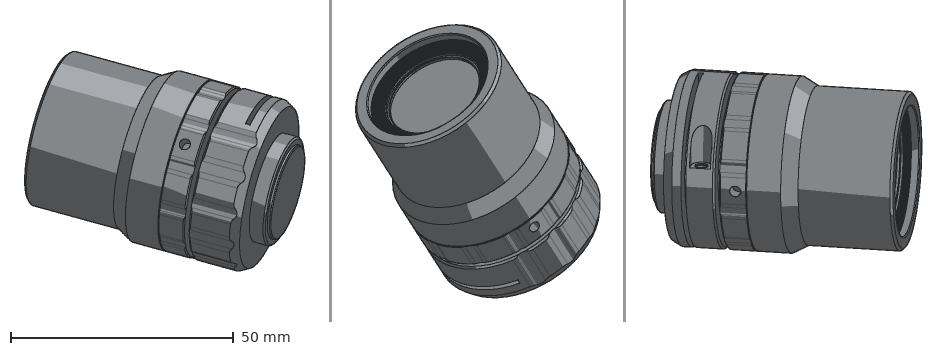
import cadquery as cq
import math


barrel_radius = 18.0
barrel_chamfer = 0.6
body_radius = 20.0
cone_start = 21.6
cone_end = 25.2
barrel_end = 33.0

groove_width = 0.2
groove_depth = 0.2

focus_ring_end = 39.3
focus_ring_chamfer = 0.3
focus_flute_radius = 2.5
focus_flute_depth = 0.46
focus_flute_edge_radius = 2.0
focus_flute_count = 12
focus_ring_turn = 1.0
set_screw_count = 3
set_screw_diameter = 2.5
set_screw_x = 35.6
set_screw_depth = 3.6

neck_radius = 15.5

clamp_start = 40.35
clamp_end = 52.2
clamp_front_chamfer_length = 0.45
clamp_front_chamfer_height = 0.45
clamp_rear_chamfer_length = 2.1
clamp_rear_chamfer_height = 1.15
clamp_flute_radius = 3.4
clamp_flute_edge_radius = 2.7
clamp_flute_depth = 0.557
clamp_flute_pitch = 25.0
clamp_flutes_per_side = 3

slot_start = 46.9
slot_width = 1.1
slot_end_y = -1.07

seat_x = 43.77
seat_y = 17.45
seat_radius = 2.39
seat_floor_z = 4.45
screw_counterbore_diameter = 3.0
screw_counterbore_depth = 0.3
screw_hole_diameter = 2.2
screw_hole_depth = 2.5
drill_point_angle = 118.0

mount_radius = 12.7
mount_end = 55.9
mount_chamfer = 0.4
rear_boss_radius = 11.0
rear_boss_chamfer = 0.25
total_length = 56.69

bore_radius = 14.75
bore_chamfer = 0.25
baffle_start = 1.9
baffle_steps = 16
baffle_inner_radius = 11.9
retainer_start = 3.2
retainer_radius = 11.6
glass_seat_start = 3.7
glass_seat_chamfer = 0.15
glass_radius = 11.05
glass_x = 4.4

clearance = 1.0


def body_of_revolution():
    clamp_front_radius = body_radius - clamp_front_chamfer_height
    clamp_rear_radius = body_radius - clamp_rear_chamfer_height
    outline = [
        (0, 0),
        (0, barrel_radius - barrel_chamfer),
        (barrel_chamfer, barrel_radius),
        (cone_start, barrel_radius),
        (cone_end, body_radius),
        (barrel_end, body_radius),
        (barrel_end, body_radius - groove_depth),
        (barrel_end + groove_width, body_radius - groove_depth),
        (barrel_end + groove_width, body_radius),
        (focus_ring_end - focus_ring_chamfer, body_radius),
        (focus_ring_end, body_radius - focus_ring_chamfer),
        (focus_ring_end, neck_radius),
        (clamp_start, neck_radius),
        (clamp_start, clamp_front_radius),
        (clamp_start + clamp_front_chamfer_length, body_radius),
        (clamp_end - clamp_rear_chamfer_length, body_radius),
        (clamp_end, clamp_rear_radius),
        (clamp_end, mount_radius),
        (mount_end - mount_chamfer, mount_radius),
        (mount_end, mount_radius - mount_chamfer),
        (mount_end, rear_boss_radius),
        (total_length - rear_boss_chamfer, rear_boss_radius),
        (total_length, rear_boss_radius - rear_boss_chamfer),
        (total_length, 0),
    ]
    return cq.Workplane("XY").polyline(outline).close().revolve(360, (0, 0, 0), (1, 0, 0))


def front_opening():
    step_height = (bore_radius - baffle_inner_radius) / baffle_steps
    step_length = (retainer_start - baffle_start) / baffle_steps
    outline = [
        (0, 0),
        (0, bore_radius + bore_chamfer),
        (bore_chamfer, bore_radius),
    ]
    for step in range(baffle_steps):
        x = baffle_start + step * step_length
        radius = bore_radius - step * step_height
        outline.append((x, radius))
        outline.append((x, radius - step_height))
    outline += [
        (retainer_start, baffle_inner_radius),
        (retainer_start, retainer_radius),
        (glass_seat_start, retainer_radius),
        (glass_seat_start, glass_radius + glass_seat_chamfer),
        (glass_seat_start + glass_seat_chamfer, glass_radius),
        (glass_x, glass_radius),
        (glass_x, 0),
    ]
    return cq.Workplane("XY").polyline(outline).close().revolve(360, (0, 0, 0), (1, 0, 0))


def flute_cutter(x_start, x_end, flute_radius, edge_radius, depth):
    """Flute facing -Y: a concave arc blended into the outside by a convex arc on each side."""
    flute_centre = body_radius - depth + flute_radius
    edge_centre = body_radius - edge_radius
    centre_gap = flute_radius + edge_radius
    half_angle = math.acos(
        (flute_centre**2 + edge_centre**2 - centre_gap**2) / (2 * flute_centre * edge_centre)
    )
    edge_out = edge_centre * math.cos(half_angle)
    edge_side = edge_centre * math.sin(half_angle)
    blend_angle = math.atan2(edge_side, flute_centre - edge_out)
    edge_mid_angle = (half_angle - blend_angle) / 2

    blend_out = flute_centre - flute_radius * math.cos(blend_angle)
    blend_side = flute_radius * math.sin(blend_angle)
    mid_out = edge_out + edge_radius * math.cos(edge_mid_angle)
    mid_side = edge_side + edge_radius * math.sin(edge_mid_angle)
    tangent_out = body_radius * math.cos(half_angle)
    tangent_side = body_radius * math.sin(half_angle)
    top_out = body_radius + clearance

    return (
        cq.Workplane("YZ", origin=(x_start, 0, 0))
        .moveTo(-top_out, tangent_side)
        .lineTo(-tangent_out, tangent_side)
        .threePointArc((-mid_out, mid_side), (-blend_out, blend_side))
        .threePointArc((-(body_radius - depth), 0), (-blend_out, -blend_side))
        .threePointArc((-mid_out, -mid_side), (-tangent_out, -tangent_side))
        .lineTo(-top_out, -tangent_side)
        .close()
        .extrude(x_end - x_start)
    )


def turned(shape, angle):
    """Turn a shape about the X axis, from -Y towards +Z for a positive angle."""
    return shape.rotate((0, 0, 0), (1, 0, 0), -angle)


def cut_focus_ring(body):
    flute = flute_cutter(
        barrel_end + groove_width,
        focus_ring_end,
        focus_flute_radius,
        focus_flute_edge_radius,
        focus_flute_depth,
    )
    pitch = 360 / focus_flute_count
    for index in range(focus_flute_count):
        body = body.cut(turned(flute, focus_ring_turn + (index + 0.5) * pitch))

    screw_hole = (
        cq.Workplane("XZ", origin=(set_screw_x, -body_radius - clearance, 0))
        .circle(set_screw_diameter / 2)
        .extrude(-(set_screw_depth + clearance))
    )
    for index in range(set_screw_count):
        angle = focus_ring_turn + (index + 0.5) * 360 / set_screw_count
        body = body.cut(turned(screw_hole, angle))
    return body


def cut_clamp_flutes(body):
    flute = flute_cutter(
        clamp_start,
        clamp_end,
        clamp_flute_radius,
        clamp_flute_edge_radius,
        clamp_flute_depth,
    )
    for index in range(-clamp_flutes_per_side, clamp_flutes_per_side + 1):
        body = body.cut(turned(flute, index * clamp_flute_pitch))
    return body


def cut_clamp_slot(body):
    outer_radius = body_radius + clearance
    ring = (
        cq.Workplane("YZ", origin=(slot_start, 0, 0))
        .circle(outer_radius)
        .circle(neck_radius)
        .extrude(slot_width)
    )
    half_space = cq.Workplane("XY").box(
        slot_width, outer_radius - slot_end_y, 2 * outer_radius, centered=(False, False, True)
    ).translate((slot_start, slot_end_y, 0))
    return body.cut(ring.intersect(half_space))


def drilled_screw_hole():
    """Blind hole along Z under the screw seat, ending in a drill point."""
    radius = screw_hole_diameter / 2
    point_length = radius / math.tan(math.radians(drill_point_angle / 2))
    outline = [
        (0, 0),
        (radius, 0),
        (radius, -screw_hole_depth),
        (0, -screw_hole_depth - point_length),
    ]
    hole = cq.Workplane("XZ").polyline(outline).close().revolve(360, (0, 0, 0), (0, 1, 0))
    return hole.translate((seat_x, seat_y, seat_floor_z))


def cut_clamp_screw_seat(body):
    seat_height = body_radius - seat_floor_z
    seat_plane = cq.Workplane("XY", origin=(seat_x, seat_y, seat_floor_z))
    round_end = seat_plane.circle(seat_radius).extrude(seat_height)
    open_end = seat_plane.rect(2 * seat_radius, 2 * (body_radius - seat_y + clearance)).extrude(seat_height)
    open_end = open_end.intersect(
        seat_plane.box(2 * seat_radius, body_radius, seat_height, centered=(True, False, False))
    )
    counterbore = seat_plane.circle(screw_counterbore_diameter / 2).extrude(-screw_counterbore_depth)
    return body.cut(round_end).cut(open_end).cut(counterbore).cut(drilled_screw_hole())


result = body_of_revolution().cut(front_opening())
result = cut_focus_ring(result)
result = cut_clamp_flutes(result)
result = cut_clamp_slot(result)
result = cut_clamp_screw_seat(result)